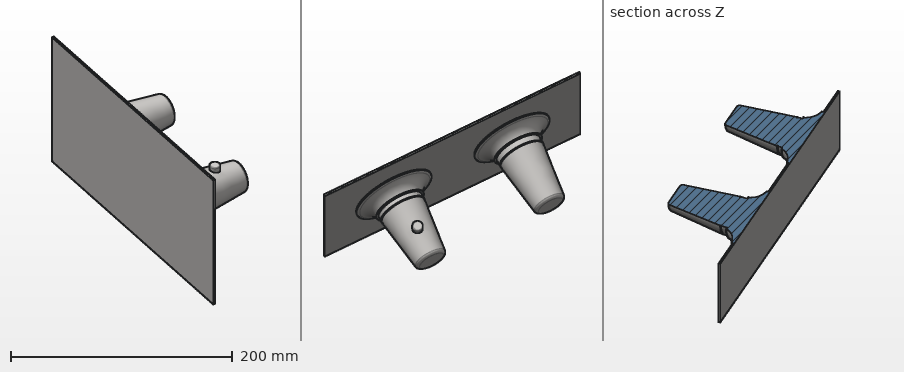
import cadquery as cq

plate_width = 260.0
plate_height = 140.0
plate_thickness = 2.0

knob_spacing = 120.0
tall_knob_height = 77.7
short_knob_height = 76.2
handle_length = 55.6

rim_radius = 38.2
rim_top = 3.5
flare_base_radius = 35.5
flare_base_height = 4.2
flare_mid_radius = 28.0
flare_mid_height = 8.3
flare_top_radius = 24.2
flare_top_height = 14.5
lip_height = 0.8

collar_radius = 22.0
groove_width = 0.8
groove_depth = 0.8
tip_radius = 15.0
tip_fillet = 3.0

button_radius = 5.0
button_center_y = 49.0
button_top_z = 24.0
button_fillet = 0.8


def revolve_about_y(profile):
    return profile.close().revolve(360, (0, 0, 0), (0, 1, 0))


def make_escutcheon():
    lip_top = flare_top_height + lip_height
    profile = (
        cq.Workplane("XY")
        .lineTo(rim_radius, 0)
        .lineTo(rim_radius, rim_top)
        .lineTo(flare_base_radius, flare_base_height)
        .threePointArc((flare_mid_radius, flare_mid_height), (flare_top_radius, flare_top_height))
        .lineTo(flare_top_radius, lip_top)
        .lineTo(0, lip_top)
    )
    return revolve_about_y(profile)


def make_handle(knob_height):
    handle_base = knob_height - handle_length
    collar_top = handle_base - groove_width
    groove_radius = collar_radius - groove_depth
    profile = (
        cq.Workplane("XY")
        .lineTo(collar_radius, 0)
        .lineTo(collar_radius, collar_top)
        .lineTo(groove_radius, collar_top)
        .lineTo(groove_radius, handle_base)
        .lineTo(collar_radius, handle_base)
        .lineTo(tip_radius, knob_height)
        .lineTo(0, knob_height)
    )
    return revolve_about_y(profile).faces(">Y").edges().fillet(tip_fillet)


def make_knob(knob_height):
    return make_escutcheon().union(make_handle(knob_height))


def make_button():
    return (
        cq.Workplane("XY")
        .center(0, button_center_y)
        .circle(button_radius)
        .extrude(button_top_z)
        .faces(">Z")
        .edges()
        .fillet(button_fillet)
    )


plate = cq.Workplane("XY").box(
    plate_width, plate_thickness, plate_height, centered=(True, False, True)
)
tall_knob = make_knob(tall_knob_height).translate((-knob_spacing / 2, 0, 0))
short_knob = make_knob(short_knob_height).union(make_button()).translate((knob_spacing / 2, 0, 0))

result = plate.union(tall_knob).union(short_knob)